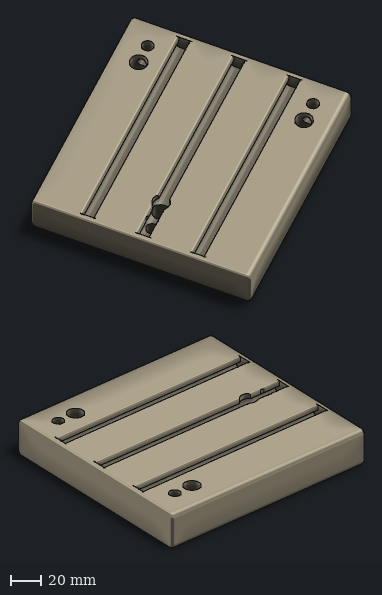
import cadquery as cq

WIDTH = 160.0
LENGTH = 168.0
THICKNESS = 28.0
SIDE_RADIUS = 4.0
END_RADIUS = 2.0

GROOVE_SPACING = 40.0
GROOVE_LENGTH = 160.0
THROAT_WIDTH = 7.7
RIM_RADIUS = 1.7
LIP_DEPTH = 4.0
CHANNEL_FLOOR_WIDTH = 4.4
CHANNEL_SIDE_RISE = 7.2
CHANNEL_SIDE_EASE = 3.7

LARGE_HOLE_DIAMETER = 12.3
SMALL_HOLE_DIAMETER = 8.4
LARGE_HOLE_Y = 50.0
SMALL_HOLE_Y = 65.0
CORNER_HOLE_X = 60.0
PASSAGE_DIAMETER = 6.7
PASSAGE_TOP_DEPTH = 4.2


def make_plate():
    """Block with rounded long edges and smaller rounds around both ends."""
    block = cq.Workplane("XY").box(WIDTH, LENGTH, THICKNESS, centered=(True, True, False))
    return block.edges("|Y").fillet(SIDE_RADIUS).faces("<Y or >Y").edges().fillet(END_RADIUS)


def make_groove(x):
    """Cutter for one groove: a throat with a rounded rim over a wider channel with bowl-shaped sides."""
    throat_x = THROAT_WIDTH / 2
    rim_x = throat_x + RIM_RADIUS
    floor_x = CHANNEL_FLOOR_WIDTH / 2
    side_x = floor_x + CHANNEL_SIDE_RISE
    floor_z = -LIP_DEPTH - CHANNEL_SIDE_RISE
    left_side = [
        (-side_x, -LIP_DEPTH - CHANNEL_SIDE_EASE),
        (-floor_x - CHANNEL_SIDE_EASE, floor_z),
        (-floor_x, floor_z),
    ]
    right_side = [
        (floor_x + CHANNEL_SIDE_EASE, floor_z),
        (side_x, -LIP_DEPTH - CHANNEL_SIDE_EASE),
        (side_x, -LIP_DEPTH),
    ]
    return (
        cq.Workplane("XZ", origin=(x, GROOVE_LENGTH / 2, THICKNESS))
        .moveTo(-rim_x, 0)
        .radiusArc((-throat_x, -RIM_RADIUS), RIM_RADIUS)
        .lineTo(-throat_x, -LIP_DEPTH)
        .lineTo(-side_x, -LIP_DEPTH)
        .bezier(left_side, includeCurrent=True)
        .lineTo(floor_x, floor_z)
        .bezier(right_side, includeCurrent=True)
        .lineTo(throat_x, -LIP_DEPTH)
        .lineTo(throat_x, -RIM_RADIUS)
        .radiusArc((rim_x, 0), RIM_RADIUS)
        .close()
        .extrude(GROOVE_LENGTH)
    )


def make_vertical_hole(x, y, diameter):
    """Cutter for one hole through the full thickness."""
    return cq.Workplane("XY").center(x, y).circle(diameter / 2).extrude(THICKNESS)


def make_hole_pair(x, side):
    """Cutter for a large and a small through hole plus the passage between their axes.

    side is +1 for a pair near the +Y end and -1 for a pair near the -Y end.
    """
    large = make_vertical_hole(x, side * LARGE_HOLE_Y, LARGE_HOLE_DIAMETER)
    small = make_vertical_hole(x, side * SMALL_HOLE_Y, SMALL_HOLE_DIAMETER)
    passage_z = THICKNESS - PASSAGE_TOP_DEPTH - PASSAGE_DIAMETER / 2
    passage = (
        cq.Workplane("XZ", origin=(x, side * LARGE_HOLE_Y, passage_z))
        .circle(PASSAGE_DIAMETER / 2)
        .extrude(-side * (SMALL_HOLE_Y - LARGE_HOLE_Y))
    )
    return large.union(small).union(passage)


result = make_plate()

for column in (-1, 0, 1):
    result = result.cut(make_groove(column * GROOVE_SPACING))

for hole_x, end_side in ((-CORNER_HOLE_X, 1), (CORNER_HOLE_X, 1), (0, -1)):
    result = result.cut(make_hole_pair(hole_x, end_side))